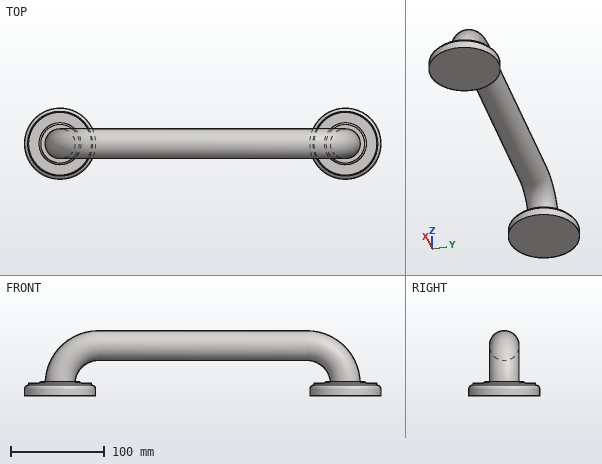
import cadquery as cq

length = 381.0
height = 69.7

flange_radius = 38.0
flange_wall_height = 7.0
shoulder_height = 11.5
shoulder_radius = 34.5
step_radius = 33.5
step_height = 13.7
collar_bottom_radius = 22.5
collar_top_radius = 20.5
collar_height = 15.2

tube_radius = 16.0
bend_radius = 41.0

flange_offset = length / 2 - flange_radius
axis_height = height - tube_radius
bend_start_height = axis_height - bend_radius
straight_half_length = flange_offset - bend_radius
shoulder_run = flange_radius - shoulder_radius


def flange(center_x):
    """Flange turned about a vertical axis: rounded rim, raised step and collar."""
    profile = (
        cq.Workplane("XZ")
        .lineTo(flange_radius, 0)
        .lineTo(flange_radius, flange_wall_height)
        .tangentArcPoint((-shoulder_run, shoulder_height - flange_wall_height))
        .lineTo(step_radius, shoulder_height)
        .lineTo(step_radius, step_height)
        .lineTo(collar_bottom_radius, step_height)
        .lineTo(collar_top_radius, collar_height)
        .lineTo(0, collar_height)
        .close()
    )
    return profile.revolve(360, (0, 0, 0), (0, 1, 0)).translate((center_x, 0, 0))


def bent_tube():
    """Round bar running up from one flange, across, and down to the other."""
    path = (
        cq.Workplane("XZ")
        .moveTo(-flange_offset, 0)
        .lineTo(-flange_offset, bend_start_height)
        .tangentArcPoint((bend_radius, bend_radius))
        .lineTo(straight_half_length, axis_height)
        .tangentArcPoint((bend_radius, -bend_radius))
        .lineTo(flange_offset, 0)
    )
    return cq.Workplane("XY").center(-flange_offset, 0).circle(tube_radius).sweep(path)


result = bent_tube()
for side in (-1, 1):
    result = result.union(flange(side * flange_offset))